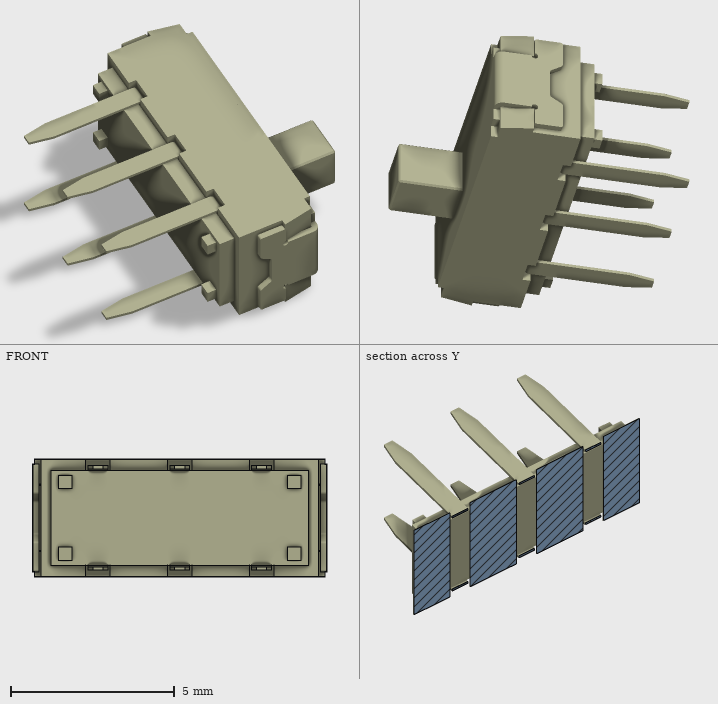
import cadquery as cq


housing_width = 8.5
housing_height = 3.6
housing_depth = 2.5
latch_tip_width = 8.89
latch_depth = 1.01
latch_clearance = 0.03

pedestal_width = 7.87
pedestal_height = 2.9
pedestal_depth = 0.5
foot_size = 0.405
foot_depth = 0.3
foot_spacing_x = 7.0
foot_spacing_z = 2.2

terminal_pitch = 2.5
terminal_width = 0.6
terminal_thickness = 0.1
terminal_span = 3.195
terminal_bend = 0.2
terminal_end = 6.255
tip_width = 0.315
tip_length = 0.8
channel_width = 0.75
channel_depth = 0.25

cover_width = 9.0
sheet = 0.2
cover_bend = 0.25
tab_width = 2.0
wing_span = 3.29
wing_depth = 1.02
tab_end = 1.89
relief_radius = 0.1
wing_corner_radius = 0.05
notch_depth = 0.4
notch_mouth = 1.49
notch_floor = 1.0
notch_radius = 0.09
plate_middle_width = 8.27
plate_middle_height = 2.79
plate_edge_width = 7.58

slider_size = 1.5
slider_offset = 1.0
slider_top = 2.2
slider_chamfer = 0.05

terminal_positions = [step * terminal_pitch for step in (-1, 0, 1)]


def box(width, height, y_from, y_to):
    """Box centred on X and Z between two Y levels."""
    return cq.Workplane("XY").box(width, y_to - y_from, height).translate((0, (y_from + y_to) / 2, 0))


def make_housing():
    body = box(housing_width, housing_height, -housing_depth, 0)

    latches = (
        cq.Workplane("XY")
        .polyline([
            (-housing_width / 2, 0),
            (housing_width / 2, 0),
            (latch_tip_width / 2, -latch_depth),
            (-latch_tip_width / 2, -latch_depth),
        ])
        .close()
        .extrude(housing_height / 2, both=True)
    )
    tab_gap = box(latch_tip_width, tab_width + 2 * latch_clearance, -latch_depth, 0)
    body = body.union(latches.cut(tab_gap))

    channel = box(channel_width, housing_height, -housing_depth, channel_depth - housing_depth)
    for x in terminal_positions:
        body = body.cut(channel.translate((x, 0, 0)))

    pedestal_end = -housing_depth - pedestal_depth
    body = body.union(box(pedestal_width, pedestal_height, pedestal_end, -housing_depth))
    foot = box(foot_size, foot_size, pedestal_end - foot_depth, pedestal_end)
    for side_x in (-1, 1):
        for side_z in (-1, 1):
            place = (side_x * foot_spacing_x / 2, 0, side_z * foot_spacing_z / 2)
            body = body.union(foot.translate(place))
    return body


def make_terminal(x):
    """U-shaped staple: a web in the channel and two tapered legs."""
    web_level = channel_depth - housing_depth
    inner_span = terminal_span - 2 * terminal_thickness
    staple = box(terminal_width, terminal_span, -terminal_end, web_level)
    staple = staple.edges("|X and >Y").fillet(terminal_bend)
    inside = box(terminal_width, inner_span, -terminal_end, web_level - terminal_thickness)
    inside = inside.edges("|X and >Y").fillet(terminal_bend - terminal_thickness)

    taper_start = tip_length - terminal_end
    outline = (
        cq.Workplane("XY")
        .polyline([
            (-terminal_width / 2, web_level),
            (terminal_width / 2, web_level),
            (terminal_width / 2, taper_start),
            (tip_width / 2, -terminal_end),
            (-tip_width / 2, -terminal_end),
            (-terminal_width / 2, taper_start),
        ])
        .close()
        .extrude(terminal_span / 2, both=True)
    )
    return staple.cut(inside).intersect(outline).translate((x, 0, 0))


def tab_outline():
    """Solid spanning both end tabs, bounded by their winged and notched outline."""
    outline = box(cover_width, tab_width, -tab_end, sheet)
    wings = box(cover_width, wing_span, -tab_end, -wing_depth)
    outline = outline.union(wings.edges("|X").fillet(wing_corner_radius))

    notch_level = notch_depth - tab_end
    notch = (
        cq.Workplane("YZ")
        .polyline([
            (-tab_end, -notch_mouth / 2),
            (notch_level, -notch_floor / 2),
            (notch_level, notch_floor / 2),
            (-tab_end, notch_mouth / 2),
        ])
        .close()
        .extrude(cover_width / 2, both=True)
    )
    around_notch = cq.selectors.BoxSelector(
        (-cover_width, -cover_width, -notch_mouth / 2 - notch_radius),
        (cover_width, cover_width, notch_mouth / 2 + notch_radius),
    )
    outline = outline.cut(notch).edges("|X").edges(around_notch).fillet(notch_radius)

    reliefs = (
        cq.Workplane("YZ")
        .pushPoints([(-wing_depth, -tab_width / 2), (-wing_depth, tab_width / 2)])
        .circle(relief_radius)
        .extrude(cover_width / 2, both=True)
    )
    return outline.cut(reliefs)


def make_cover():
    inner_width = cover_width - 2 * sheet
    sheet_u = box(cover_width, wing_span, -tab_end, sheet).edges("|Z and >Y").fillet(cover_bend)
    inside = box(inner_width, wing_span, -tab_end, 0).edges("|Z and >Y").fillet(cover_bend - sheet)
    tabs = sheet_u.cut(inside).intersect(tab_outline())

    plate = box(plate_middle_width, plate_middle_height, 0, sheet)
    plate = plate.union(box(plate_edge_width, housing_height, 0, sheet))

    slider_hole = box(slider_size, slider_size, 0, sheet).edges("|Y").chamfer(slider_chamfer)
    return tabs.union(plate).cut(slider_hole.translate((slider_offset, 0, 0)))


def make_slider():
    knob = box(slider_size, slider_size, 0, slider_top)
    knob = knob.edges("|Y or >Y").chamfer(slider_chamfer)
    return knob.translate((slider_offset, 0, 0))


housing = make_housing()
cover = make_cover()
slider = make_slider()
terminals = [make_terminal(x) for x in terminal_positions]

result = cq.Compound.makeCompound(
    [housing.val(), cover.val(), slider.val(), *[terminal.val() for terminal in terminals]]
)